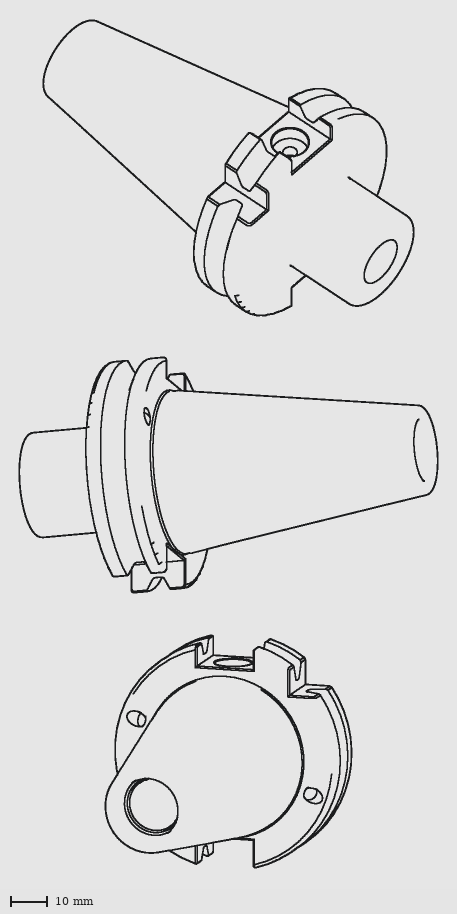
import cadquery as cq
import math

total_length = 112.4
gauge_x = 68.2
neck_start_x = 69.2
flange_start_x = 71.6
flange_end_x = 87.5
flange_width = flange_end_x - flange_start_x

gauge_diameter = 44.4
flange_diameter = 63.5
nose_diameter = 28.9
taper_ratio = 7 / 24

neck_cylinder_length = 1.0
neck_cone_rise = 0.06
neck_root_length = 0.7
neck_root_rise = 0.28

edge_radius = 1.0
nose_root_radius = 3.0
edge_break = 0.4

groove_x = 79.5
groove_floor_diameter = 56.3
groove_floor_width = 2.8
groove_flank_angle = 30
groove_root_radius = 1.0

slot_width = 16.1
upper_slot_floor_z = 25.0
lower_slot_floor_z = -22.8
notch_side_y = -18.4
notch_floor_z = 18.4

counterbore_radius = 8.4
counterbore_depth = 5.8
bore_mouth_radius = 1.0
bore_lead_in_radius = 7.8
bore_lead_in_depth = 6.3
bore_throat_radius = 7.3
bore_throat_depth = 7.0
bore_cone_radius = 7.2
bore_cone_depth = 9.4
bore_radius = 6.9
bore_start_depth = 11.2

pocket_diameter = 10.1
pocket_depth = 4.3
pocket_rim_chamfer = 0.2
pilot_diameter = 3.9
pilot_depth = 3.4

coolant_hole_diameter = 4.0
coolant_hole_depth = 1.7
coolant_circle_radius = 26.9
coolant_tilt = 45
coolant_angles = (20, 200)

drill_point_angle = 118


def revolve_about_x(profile):
    """Close a profile drawn in the XZ plane and turn it about the X axis."""
    return profile.close().revolve(360, (0, 0, 0), (1, 0, 0))


def make_taper_and_neck():
    small_radius = (gauge_diameter - gauge_x * taper_ratio) / 2
    neck_radius = small_radius + neck_start_x * taper_ratio / 2
    cone_end_radius = neck_radius + neck_cone_rise
    root_start_x = flange_start_x - neck_root_length
    body = revolve_about_x(
        cq.Workplane("XZ")
        .moveTo(0, 0)
        .lineTo(0, small_radius)
        .lineTo(neck_start_x, neck_radius)
        .lineTo(neck_start_x + neck_cylinder_length, neck_radius)
        .lineTo(root_start_x, cone_end_radius)
        .lineTo(flange_start_x, cone_end_radius + neck_root_rise)
        .lineTo(flange_start_x, 0)
    )
    return body.faces("<X").edges().fillet(edge_radius)


def make_nose():
    radius = nose_diameter / 2
    nose = revolve_about_x(
        cq.Workplane("XZ")
        .moveTo(flange_end_x, 0)
        .lineTo(flange_end_x, radius + nose_root_radius)
        .radiusArc((flange_end_x + nose_root_radius, radius), -nose_root_radius)
        .lineTo(total_length, radius)
        .lineTo(total_length, 0)
    )
    return nose.faces(">X").edges().fillet(edge_radius)


def flange_cutter(y_start, y_end, z_start, z_end):
    """Block as wide as the flange, for slots that cross it along X."""
    return cq.Workplane("XY", origin=(flange_start_x, y_start, z_start)).box(
        flange_width, y_end - y_start, z_end - z_start, centered=False
    )


def break_slot_edges(flange):
    """Chamfer the outer edges of the slot faces, leaving their inside corners sharp."""
    slot_edges = [edge for face in flange.faces("#X").vals() for edge in face.Edges()]
    outer_edges = [edge for edge in slot_edges if sum(edge.isSame(other) for other in slot_edges) == 1]
    return flange.newObject(outer_edges).chamfer(edge_break)


def make_groove():
    floor_radius = groove_floor_diameter / 2
    outer_radius = flange_diameter / 2
    half_floor = groove_floor_width / 2
    half_mouth = half_floor + (outer_radius - floor_radius) * math.tan(math.radians(groove_flank_angle))
    groove = revolve_about_x(
        cq.Workplane("XZ")
        .moveTo(groove_x - half_floor, floor_radius)
        .lineTo(groove_x + half_floor, floor_radius)
        .lineTo(groove_x + half_mouth, outer_radius)
        .lineTo(groove_x - half_mouth, outer_radius)
    )
    floor_edges = cq.selectors.RadiusNthSelector(0)
    return groove.edges(floor_edges).fillet(groove_root_radius)


def make_flange():
    outer_radius = flange_diameter / 2
    half_slot = slot_width / 2
    flange = (
        cq.Workplane("YZ", origin=(flange_start_x, 0, 0))
        .circle(outer_radius)
        .extrude(flange_width)
        .edges()
        .fillet(edge_radius)
        .cut(flange_cutter(-half_slot, half_slot, upper_slot_floor_z, outer_radius))
        .cut(flange_cutter(-half_slot, half_slot, -outer_radius, lower_slot_floor_z))
        .cut(flange_cutter(-outer_radius, notch_side_y, notch_floor_z, outer_radius))
    )
    return break_slot_edges(flange).cut(make_groove())


def make_bore():
    return revolve_about_x(
        cq.Workplane("XZ")
        .moveTo(0, 0)
        .lineTo(0, counterbore_radius + bore_mouth_radius)
        .radiusArc((bore_mouth_radius, counterbore_radius), -bore_mouth_radius)
        .lineTo(counterbore_depth, counterbore_radius)
        .lineTo(bore_lead_in_depth, bore_lead_in_radius)
        .lineTo(bore_throat_depth, bore_throat_radius)
        .lineTo(bore_cone_depth, bore_cone_radius)
        .lineTo(bore_start_depth, bore_radius)
        .lineTo(total_length, bore_radius)
        .lineTo(total_length, 0)
    )


def drilled_hole(diameter, start, depth):
    """Drill along the Z axis: full diameter from height start down to -depth, then a pointed end."""
    radius = diameter / 2
    point = radius / math.tan(math.radians(drill_point_angle / 2))
    return (
        cq.Workplane("XZ")
        .moveTo(0, start)
        .lineTo(radius, start)
        .lineTo(radius, -depth)
        .lineTo(0, -depth - point)
        .close()
        .revolve(360, (0, 0, 0), (0, 1, 0))
    )


def make_pocket():
    pocket = cq.Workplane("XY").circle(pocket_diameter / 2).extrude(-pocket_depth)
    rim = (
        cq.Workplane("XY")
        .circle(pocket_diameter / 2 + pocket_rim_chamfer)
        .extrude(-pocket_rim_chamfer, taper=45)
    )
    pilot = drilled_hole(pilot_diameter, 0, pocket_depth + pilot_depth)
    return pocket.union(rim).union(pilot).translate((groove_x, 0, upper_slot_floor_z))


def make_coolant_hole(angle):
    hole = drilled_hole(coolant_hole_diameter, coolant_hole_diameter, coolant_hole_depth)
    return (
        hole.rotate((0, 0, 0), (0, 1, 0), -90 + coolant_tilt)
        .translate((flange_start_x, 0, coolant_circle_radius))
        .rotate((0, 0, 0), (1, 0, 0), angle - 90)
    )


result = make_taper_and_neck().union(make_flange()).union(make_nose())
result = result.cut(make_bore()).cut(make_pocket())
for coolant_angle in coolant_angles:
    result = result.cut(make_coolant_hole(coolant_angle))